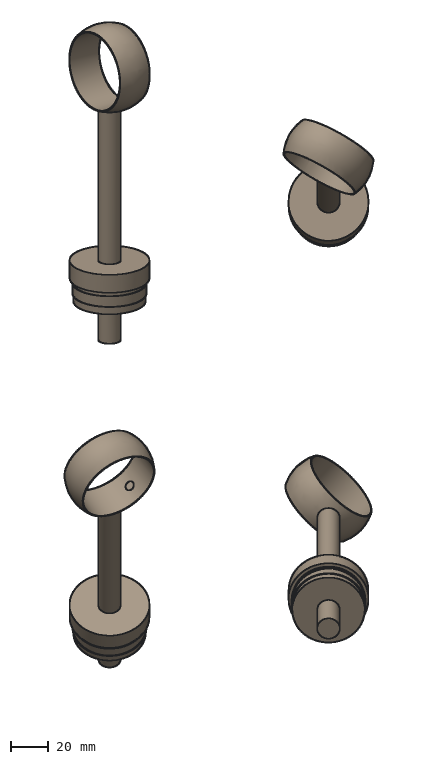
import cadquery as cq
import math

total_height = 179.0
rod_diameter = 12.0

ring_diameter = 48.0
ring_width = 20.0
ring_bore_diameter = 42.5
ring_center_z = total_height - ring_diameter / 2

spot_diameter = 5.0
spot_depth = 0.2
spot_tilt = 35.0

collar_bottom_z = 22.0
groove_diameter = 38.5
band_diameter = 39.4
flange_diameter = 42.5
collar_steps = [
    (groove_diameter, 4.3),
    (band_diameter, 6.0),
    (groove_diameter, 2.7),
    (flange_diameter, 10.2),
]


def disc(diameter, bottom_z, height):
    """Upright cylinder centred on the Z axis."""
    return cq.Workplane("XY", origin=(0, 0, bottom_z)).circle(diameter / 2).extrude(height)


def cross_cylinder(diameter):
    """Cylinder along Y through the ring centre, as long as the ring is wide."""
    plane = cq.Workplane("XZ", origin=(0, ring_width / 2, ring_center_z))
    return plane.circle(diameter / 2).extrude(ring_width)


def spot_cutter():
    """Cylinder from the ring centre to the flat floor of the spot in the bore wall."""
    tilt = math.radians(spot_tilt)
    axis = cq.Vector(math.sin(tilt), 0, -math.cos(tilt))
    center = cq.Vector(0, 0, ring_center_z)
    length = ring_bore_diameter / 2 + spot_depth
    return cq.Workplane(cq.Solid.makeCylinder(spot_diameter / 2, length, center, axis))


part = disc(rod_diameter, 0, ring_center_z)
step_z = collar_bottom_z
for step_diameter, step_height in collar_steps:
    part = part.union(disc(step_diameter, step_z, step_height))
    step_z += step_height

ball = cq.Workplane("XY", origin=(0, 0, ring_center_z)).sphere(ring_diameter / 2)
ring = ball.intersect(cross_cylinder(ring_diameter))
part = part.union(ring).cut(cross_cylinder(ring_bore_diameter))

result = part.cut(spot_cutter())